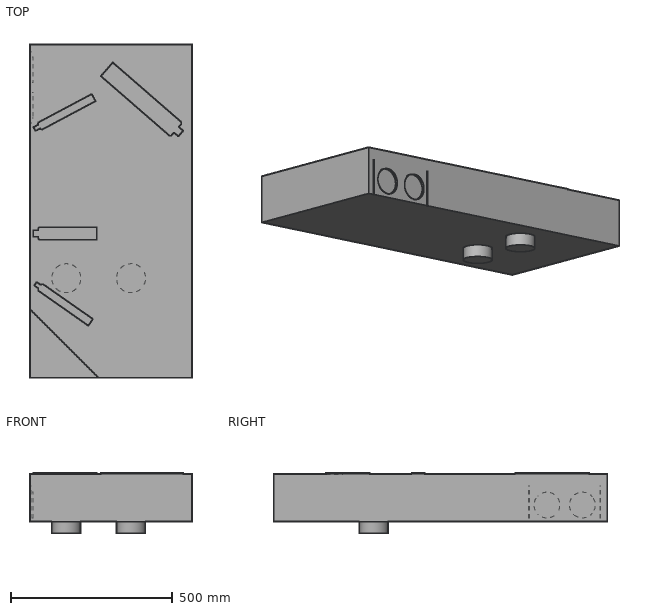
import cadquery as cq

BODY_X = 503.0
BODY_Y = 1035.0
BODY_Z = 148.0

FOOT_DIAMETER = 90.0
FOOT_HEIGHT = 37.0
FOOT_Y = 310.0
FOOT_FIRST_X = 112.0
FOOT_SPACING = 201.0

PAD_HEIGHT = 3.6
SHOULDER_CHAMFER = 4.0

CORNER_LEG = 213.0
CORNER_DROP = 1.5

SLIT_WIDTH = 2.0
SLIT_DEPTH = 3.0
PANEL_CENTRE_Y = 902.0
PANEL_WIDTH = 221.0
PANEL_HEIGHT = 111.0
RECESS_DIAMETER = 80.0
RECESS_SPACING = 110.0
RECESS_Z = 52.0
RECESS_DEPTH = 8.0


def make_body():
    """Plain rectangular block."""
    return cq.Workplane("XY").box(BODY_X, BODY_Y, BODY_Z, centered=False)


def make_feet():
    """Two round feet, side by side along X."""
    centres = [(FOOT_FIRST_X + i * FOOT_SPACING, FOOT_Y) for i in range(2)]
    return cq.Workplane("XY").pushPoints(centres).circle(FOOT_DIAMETER / 2).extrude(-FOOT_HEIGHT)


def make_pad(tip_x, tip_y, angle, length, width, neck_length, neck_width):
    """Pad with a narrow neck; the neck's end centre is at the tip and the pad runs off at the angle."""
    half = width / 2
    half_neck = neck_width / 2
    outline = [
        (0, half_neck),
        (neck_length, half_neck),
        (neck_length, half - SHOULDER_CHAMFER),
        (neck_length + SHOULDER_CHAMFER, half),
        (length, half),
    ]
    mirrored = [(x, -y) for x, y in reversed(outline)]
    return (
        cq.Workplane("XY")
        .polyline(outline + mirrored)
        .close()
        .extrude(PAD_HEIGHT)
        .rotate((0, 0, 0), (0, 0, 1), angle)
        .translate((tip_x, tip_y, BODY_Z))
    )


def make_corner_drop():
    """Triangular step at the -X, -Y corner of the top face."""
    return (
        cq.Workplane("XY")
        .workplane(offset=BODY_Z - CORNER_DROP)
        .polyline([(0, 0), (CORNER_LEG, 0), (0, CORNER_LEG)])
        .close()
        .extrude(CORNER_DROP)
    )


def make_panel_slits():
    """Two upright slits at the sides of the side panel, open at the base."""
    slits = cq.Workplane("XY")
    for side in (-1, 1):
        slit = cq.Workplane("XY").box(SLIT_DEPTH, SLIT_WIDTH, PANEL_HEIGHT, centered=(False, True, False))
        slits = slits.add(slit.translate((0, PANEL_CENTRE_Y + side * PANEL_WIDTH / 2, 0)))
    return slits.combine()


def make_recesses():
    """Two shallow round recesses in the -X face."""
    centres = [(PANEL_CENTRE_Y + side * RECESS_SPACING / 2, RECESS_Z) for side in (-1, 1)]
    return (
        cq.Workplane("YZ")
        .pushPoints(centres)
        .circle(RECESS_DIAMETER / 2)
        .extrude(RECESS_DEPTH)
    )


pads = [
    make_pad(tip_x=468, tip_y=758, angle=139, length=304, width=56, neck_length=18, neck_width=23),
    make_pad(tip_x=14, tip_y=772, angle=28, length=208, width=25, neck_length=16, neck_width=13),
    make_pad(tip_x=10, tip_y=448, angle=0, length=197, width=40, neck_length=16, neck_width=20),
    make_pad(tip_x=17, tip_y=292, angle=-35, length=209, width=25, neck_length=16, neck_width=13),
]

result = make_body().union(make_feet())
for pad in pads:
    result = result.union(pad)
result = result.cut(make_corner_drop()).cut(make_panel_slits()).cut(make_recesses())